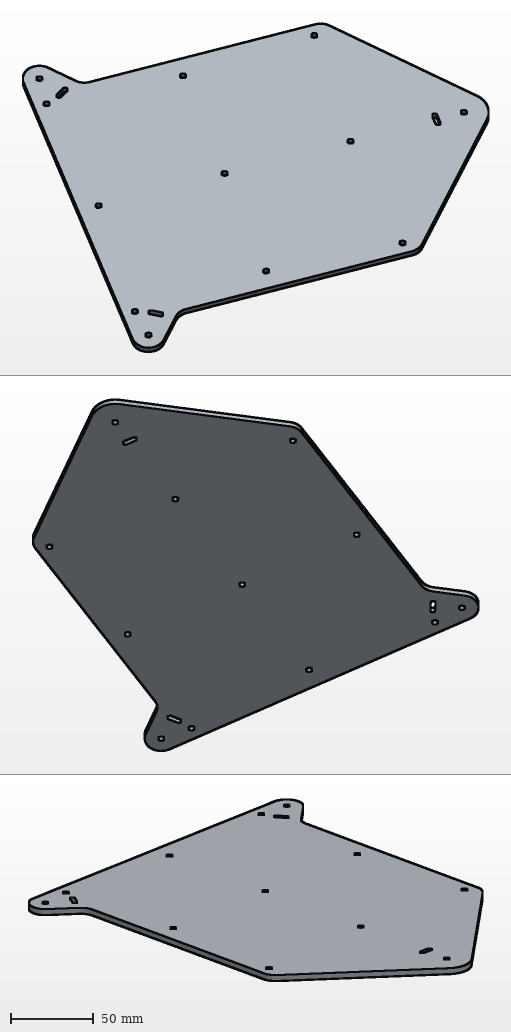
import cadquery as cq
import math

thickness = 4.0
body_half_width = 93.0
bottom_y = -93.0

ear_radius = 10.0
ear_x = 105.0
ear_y = bottom_y + ear_radius
nose_radius = 15.0
nose_y = 151.95
roof_angle = 40.2
ear_angle = roof_angle
shoulder_radius = 10.0
armpit_radius = shoulder_radius

hole_diameter = 3.5
cross_hole_pitch = 80.0
corner_hole_offset = 85.0
slot_length = 9.0
slot_width = 3.0
slot_distance = 17.5
ear_slot_direction = 33.0


def point_on_circle(center, radius, angle):
    """Point at the given angle (degrees) on a circle."""
    a = math.radians(angle)
    return (center[0] + radius * math.cos(a), center[1] + radius * math.sin(a))


def y_on_tangent(center, radius, slope_angle, x):
    """Height at x of the line falling to the right at slope_angle that touches the top of a circle."""
    a = math.radians(slope_angle)
    return center[1] + radius / math.cos(a) - (x - center[0]) * math.tan(a)


def right_half():
    """Right half of the plate, from the centre line outwards."""
    nose = (0.0, nose_y)
    ear = (ear_x, ear_y)

    shoulder_x = body_half_width - shoulder_radius
    shoulder = (shoulder_x, y_on_tangent(nose, nose_radius - shoulder_radius, roof_angle, shoulder_x))
    armpit_x = body_half_width + armpit_radius
    armpit = (armpit_x, y_on_tangent(ear, ear_radius + armpit_radius, ear_angle, armpit_x))

    roof_normal = 90.0 - roof_angle
    ear_normal = 90.0 - ear_angle
    armpit_end = ear_normal + 180.0

    return (
        cq.Workplane("XY")
        .moveTo(0.0, bottom_y)
        .lineTo(0.0, nose_y + nose_radius)
        .threePointArc(
            point_on_circle(nose, nose_radius, (90.0 + roof_normal) / 2),
            point_on_circle(nose, nose_radius, roof_normal),
        )
        .lineTo(*point_on_circle(shoulder, shoulder_radius, roof_normal))
        .threePointArc(
            point_on_circle(shoulder, shoulder_radius, roof_normal / 2),
            point_on_circle(shoulder, shoulder_radius, 0.0),
        )
        .lineTo(body_half_width, armpit[1])
        .threePointArc(
            point_on_circle(armpit, armpit_radius, (180.0 + armpit_end) / 2),
            point_on_circle(armpit, armpit_radius, armpit_end),
        )
        .lineTo(*point_on_circle(ear, ear_radius, ear_normal))
        .threePointArc(
            point_on_circle(ear, ear_radius, 0.0),
            point_on_circle(ear, ear_radius, -90.0),
        )
        .close()
        .extrude(thickness)
    )


def plate():
    """Plate mirrored about the YZ plane."""
    half = right_half()
    return half.union(half.mirror("YZ")).clean()


def hole_cutters():
    """Round through holes: centre cross, body corners and outer mounting holes."""
    centers = [(0.0, 0.0), (0.0, nose_y)]
    for side in (-1, 1):
        centers.append((side * cross_hole_pitch, 0.0))
        centers.append((0.0, side * cross_hole_pitch))
        centers.append((side * ear_x, ear_y))
        for end in (-1, 1):
            centers.append((side * corner_hole_offset, end * corner_hole_offset))
    return cq.Workplane("XY").pushPoints(centers).circle(hole_diameter / 2).extrude(thickness)


def slot_cutter(mount, direction):
    """Round-ended slot set off from a mounting hole and square to the offset direction (degrees)."""
    center = point_on_circle(mount, slot_distance, direction)
    return (
        cq.Workplane("XY")
        .slot2D(slot_length, slot_width, 90)
        .extrude(thickness)
        .rotate((0, 0, 0), (0, 0, 1), direction)
        .translate((center[0], center[1], 0))
    )


result = (
    plate()
    .cut(hole_cutters())
    .cut(slot_cutter((0.0, nose_y), -90.0))
    .cut(slot_cutter((-ear_x, ear_y), ear_slot_direction))
    .cut(slot_cutter((ear_x, ear_y), 180.0 - ear_slot_direction))
)